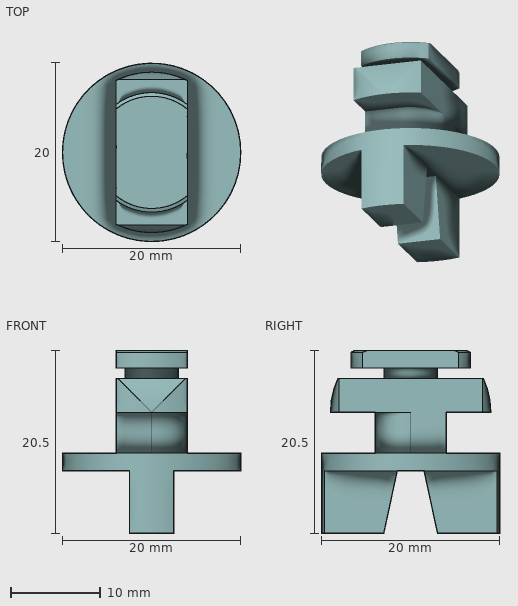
import cadquery as cq

flange_bottom = 7.0
flange_top = 9.0
bar_bottom = 13.57
bar_top = 17.36
button_bottom = 18.51
total_height = 20.5

flange_diameter = 20.0
body_width = 8.0
bar_diameter = 18.0
groove_diameter = 6.0
button_diameter = 13.4
button_chamfer_radial = 0.4
button_chamfer_height = 0.2
lug_width = 5.0
gap_bottom_width = 6.0
gap_top_width = 3.0


def cylinder(diameter, bottom, top):
    return cq.Workplane("XY").workplane(offset=bottom).circle(diameter / 2).extrude(top - bottom)


def block(x_size, y_size, bottom, top):
    return cq.Workplane("XY").workplane(offset=bottom).rect(x_size, y_size).extrude(top - bottom)


def make_lugs():
    """Two lugs with round outer faces, separated by a tapered gap."""
    lugs = cylinder(flange_diameter, 0, flange_bottom).intersect(
        block(lug_width, flange_diameter, 0, flange_bottom)
    )
    gap = (
        cq.Workplane("YZ")
        .polyline([
            (-gap_bottom_width / 2, 0),
            (gap_bottom_width / 2, 0),
            (gap_top_width / 2, flange_bottom),
            (-gap_top_width / 2, flange_bottom),
        ])
        .close()
        .extrude(lug_width, both=True)
    )
    return lugs.cut(gap)


def make_neck():
    """Round neck with two opposite quadrants filled out to square corners."""
    neck = cylinder(body_width, flange_top, bar_bottom)
    quadrant = body_width / 2
    for side in (-1, 1):
        corner = block(quadrant, quadrant, flange_top, bar_bottom)
        neck = neck.union(corner.translate((side * quadrant / 2, side * quadrant / 2, 0)))
    return neck


def make_bar():
    """Locking bar whose round ends curve inwards towards the top."""
    bar = cylinder(bar_diameter, bar_bottom, bar_top).intersect(
        block(body_width, bar_diameter, bar_bottom, bar_top)
    )
    end_rounding = (
        cq.Workplane("YZ")
        .center(0, bar_bottom)
        .circle(bar_diameter / 2)
        .extrude(body_width, both=True)
    )
    return bar.intersect(end_rounding)


def make_button():
    """Round button with two flats, chamfered only along its round edges."""
    radius = button_diameter / 2
    turned = (
        cq.Workplane("XZ")
        .moveTo(0, button_bottom)
        .lineTo(radius, button_bottom)
        .lineTo(radius, total_height - button_chamfer_height)
        .lineTo(radius - button_chamfer_radial, total_height)
        .lineTo(0, total_height)
        .close()
        .revolve(360, (0, 0, 0), (0, 1, 0))
    )
    return turned.intersect(block(body_width, button_diameter, button_bottom, total_height))


flange = cylinder(flange_diameter, flange_bottom, flange_top)
groove_core = cylinder(groove_diameter, bar_top, button_bottom)

result = (
    make_lugs()
    .union(flange)
    .union(make_neck())
    .union(make_bar())
    .union(groove_core)
    .union(make_button())
)